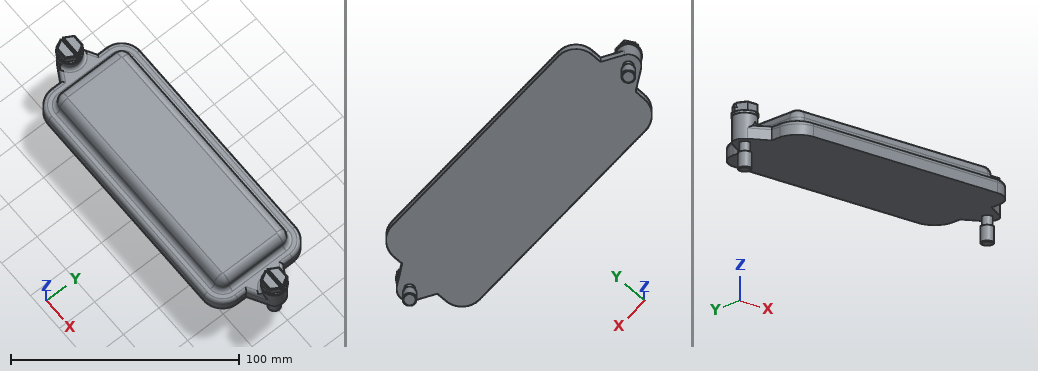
import cadquery as cq
import math

overall_length = 154.1
plate_length = 128.8
plate_width = 51.8
plate_height = 7.0
plate_corner_radius = 10.5
plate_edge_radius = 1.8

dome_length = 116.5
dome_width = 39.5
dome_top = 15.0
dome_edge_radius = 4.3
dome_corner_radius = 4.6
dome_root_radius = 2.3

boss_radius = 5.7
boss_top = 12.0
boss_root_radius = 1.8
boss_root_taper = 22.0
ear_wall_angle = 30.0

collar_radius = 6.0
collar_height = 1.2
head_across_flats = 10.2
head_top = 17.5
head_chamfer = 0.5
slot_width = 1.2
slot_depth = 2.3
neck_diameter = 5.0
thread_diameter = 6.2
thread_top = -4.6
screw_bottom = -12.5
thread_chamfer = 0.5

boss_x = overall_length / 2 - collar_radius
sides = (-1, 1)


def rounded_block(length, width, height, corner_radius):
    """Rectangular block standing on Z = 0 with rounded upright edges."""
    block = cq.Workplane("XY").rect(length, width).extrude(height)
    return block.edges("|Z").fillet(corner_radius)


def cylinder(radius, base_z, top_z):
    """Upright cylinder on the Z axis."""
    return cq.Workplane("XY", origin=(0, 0, base_z)).circle(radius).extrude(top_z - base_z)


def ear_outline(side, base_z):
    """Trapezium from inside the plate to the points where its walls touch the boss."""
    angle = math.radians(ear_wall_angle)
    tip_x = boss_x + boss_radius * math.sin(angle)
    tip_y = boss_radius * math.cos(angle)
    root_x = plate_length / 2 - plate_corner_radius
    root_y = tip_y + (tip_x - root_x) * math.tan(angle)
    return (
        cq.Workplane("XY", origin=(0, 0, base_z))
        .moveTo(side * root_x, -root_y)
        .lineTo(side * tip_x, -tip_y)
        .lineTo(side * tip_x, tip_y)
        .lineTo(side * root_x, root_y)
        .close()
    )


def plate():
    """Rounded plate with an ear at each end and a rounded top edge."""
    blank = rounded_block(plate_length, plate_width, plate_height, plate_corner_radius)
    for side in sides:
        blank = blank.union(ear_outline(side, 0).extrude(plate_height))
    return blank.faces(">Z").edges("not(<X or >X)").fillet(plate_edge_radius)


def dome():
    """Raised block with rounded corners and a rounded top edge."""
    block = rounded_block(dome_length, dome_width, dome_top, dome_corner_radius)
    return block.faces(">Z").edges().fillet(dome_edge_radius)


def cover():
    """Plate and dome joined by a concave fillet around the foot of the dome."""
    margin = 0.2
    half_length = dome_length / 2 + margin
    half_width = dome_width / 2 + margin
    dome_foot = cq.selectors.BoxSelector(
        (-half_length, -half_width, plate_height - margin),
        (half_length, half_width, plate_height + margin),
    )
    return plate().union(dome()).edges(dome_foot).fillet(dome_root_radius)


def boss_root(side):
    """Concave blend from the boss to the top of its ear, cut off by the sloping ear edges."""
    outer_radius = boss_radius + boss_root_radius
    crest_z = plate_height + boss_root_radius
    sag = boss_root_radius * (1 - math.sqrt(0.5))
    blend = (
        cq.Workplane("XZ")
        .lineTo(outer_radius, 0)
        .lineTo(outer_radius, plate_height)
        .threePointArc((boss_radius + sag, plate_height + sag), (boss_radius, crest_z))
        .lineTo(0, crest_z)
        .close()
        .revolve()
        .translate((side * boss_x, 0, 0))
    )
    edge_z = plate_height - plate_edge_radius
    ear_limit = ear_outline(side, edge_z).extrude(crest_z - edge_z, taper=boss_root_taper)
    return blend.intersect(ear_limit)


def boss_with_screw():
    """Boss on the Z axis with its slotted hexagon-head screw."""
    collar_top = boss_top + collar_height
    boss = cylinder(boss_radius, 0, boss_top)
    collar = cylinder(collar_radius, boss_top, collar_top)
    neck = cylinder(neck_diameter / 2, thread_top, 0)
    thread = cylinder(thread_diameter / 2, screw_bottom, thread_top)
    thread = thread.faces("<Z").chamfer(thread_chamfer)

    across_corners = head_across_flats / math.cos(math.radians(30))
    head = (
        cq.Workplane("XY", origin=(0, 0, collar_top))
        .polygon(6, across_corners)
        .extrude(head_top - collar_top)
        .faces(">Z")
        .chamfer(head_chamfer)
    )
    slot = cq.Workplane("XY", origin=(0, 0, head_top)).box(across_corners, slot_width, 2 * slot_depth)
    return boss.union(collar).union(neck).union(thread).union(head).cut(slot)


result = cover()
for side in sides:
    fastening = boss_with_screw().translate((side * boss_x, 0, 0))
    result = result.union(fastening).union(boss_root(side))